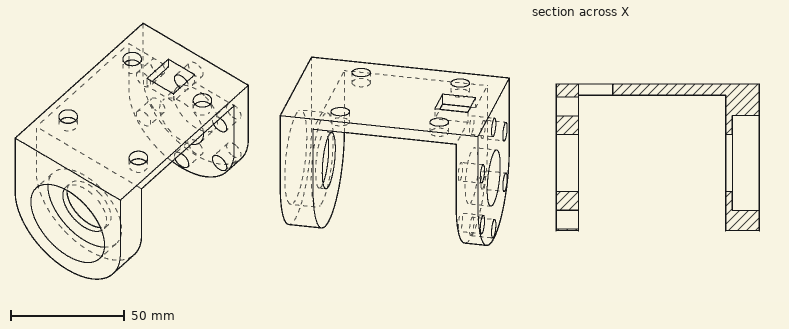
import cadquery as cq

width = 60.0
length = 90.0
height = 65.0
plate_thickness = 5.0

leg_radius = width / 2
axis_drop = height - leg_radius
front_leg_thickness = 15.0
rear_leg_thickness = 10.0
front_face_y = -length / 2
rear_face_y = length / 2

bore_diameter = 25.0
bearing_diameter = 42.0
bearing_depth = 12.0

screw_diameter = 8.2
flange_screw_count = 6
flange_screw_circle_radius = 25.0
flange_first_angle = 90.0
full_turn = 360.0
plate_screw_spacing_x = 40.0
plate_screw_spacing_y = 45.0
plate_screw_centre_y = (front_leg_thickness - rear_leg_thickness) / 2

window_size = 15.0


def plate():
    """Flat top plate joining the two legs."""
    return cq.Workplane("XY").box(width, length, plate_thickness).translate(
        (0, 0, axis_drop - plate_thickness / 2)
    )


def leg(front_y, thickness):
    """Upright leg with a half-round lower end, extending in +Y from front_y."""
    return (
        cq.Workplane("XZ", origin=(0, front_y, 0))
        .moveTo(-leg_radius, axis_drop)
        .lineTo(-leg_radius, 0)
        .threePointArc((0, -leg_radius), (leg_radius, 0))
        .lineTo(leg_radius, axis_drop)
        .close()
        .extrude(-thickness)
    )


def axial_cylinder(front_y, diameter, depth):
    """Cylinder on the bore axis, running in +Y from front_y."""
    return cq.Workplane("XZ", origin=(0, front_y, 0)).circle(diameter / 2).extrude(-depth)


def flange_screw_holes():
    """Ring of through holes around the bore of the rear leg."""
    return (
        cq.Workplane("XZ", origin=(0, rear_face_y, 0))
        .polarArray(flange_screw_circle_radius, flange_first_angle, full_turn, flange_screw_count)
        .circle(screw_diameter / 2)
        .extrude(rear_leg_thickness)
    )


def plate_screw_holes():
    """Four through holes in the top plate."""
    return (
        cq.Workplane("XY", origin=(0, plate_screw_centre_y, axis_drop))
        .rarray(plate_screw_spacing_x, plate_screw_spacing_y, 2, 2)
        .circle(screw_diameter / 2)
        .extrude(-plate_thickness)
    )


def plate_window():
    """Square opening through the plate beside the rear leg."""
    window_y = rear_face_y - rear_leg_thickness - window_size / 2
    return cq.Workplane("XY").box(window_size, window_size, plate_thickness).translate(
        (0, window_y, axis_drop - plate_thickness / 2)
    )


result = (
    plate()
    .union(leg(front_face_y, front_leg_thickness))
    .union(leg(rear_face_y - rear_leg_thickness, rear_leg_thickness))
    .cut(axial_cylinder(front_face_y, bore_diameter, length))
    .cut(axial_cylinder(front_face_y, bearing_diameter, bearing_depth))
    .cut(flange_screw_holes())
    .cut(plate_screw_holes())
    .cut(plate_window())
)